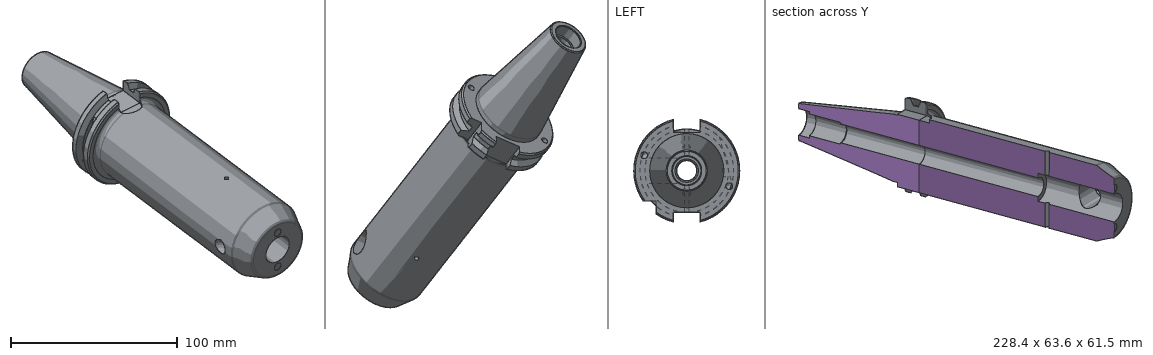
import cadquery as cq
import math


gauge_diameter = 44.45
taper_length = 68.4
taper_ratio = 7 / 24
small_end_radius = (gauge_diameter - taper_length * taper_ratio) / 2
taper_chamfer = 0.6

flange_diameter = 63.55
flange_radius = flange_diameter / 2
flange_start = 3.2
flange_end = 19.1
flange_chamfer = 0.9
groove_centre = 11.0
groove_floor_radius = 28.1
groove_floor_width = 3.6
groove_mouth_width = 7.2
groove_half_floor = groove_floor_width / 2
groove_half_mouth = groove_mouth_width / 2

slot_width = 16.1
upper_slot_floor = 22.8
lower_slot_floor = 25.0
slot_end = 26.2
notch_offset = 18.3

flange_hole_diameter = 4.0
flange_hole_circle_radius = 27.1
flange_hole_angle = 20
flange_hole_depth = 8.6
drill_point_angle = 118
groove_flat_angle = 15.2
groove_flat_distance = 24.2
groove_flat_width = 3.0

overall_end = 160.0
body_radius = 25.0
neck_fillet = 3.0
nose_end = 159.8
nose_cone_start = 147.0
nose_end_radius = 19.5
nose_shoulder_fillet = 2.0
nose_rim_fillet = 1.4

tool_bore_radius = 9.0
tool_bore_depth = 55.0
through_bore_radius = 6.0
thread_bore_radius = 7.0
thread_bore_depth = 30.0
pilot_bore_radius = 8.5
pilot_bore_depth = 8.0
pilot_chamfer = 0.5

screw_hole_x = 136.0
screw_hole_radius = 7.7
dish_radius = 5.0
dish_centre_distance = 26.4

cross_hole_diameter = 2.6
cross_hole_x = 111.3
boss_diameter = 5.0
boss_offset = 12.8


def revolve_about_x(points):
    profile = cq.Workplane("XY").polyline(points).close()
    return profile.revolve(360, (0, 0, 0), (1, 0, 0))


def cylinder_along_x(x_start, x_end, radius, y=0.0, z=0.0):
    return cq.Workplane("YZ", origin=(x_start, y, z)).circle(radius).extrude(x_end - x_start)


def box_between(x_range, y_range, z_range):
    size = [high - low for low, high in (x_range, y_range, z_range)]
    corner = (x_range[0], y_range[0], z_range[0])
    return cq.Workplane("XY").box(*size, centered=False).translate(corner)


def make_taper():
    tip = -taper_length
    gauge_radius = gauge_diameter / 2
    return revolve_about_x([
        (tip, 0),
        (tip, small_end_radius - taper_chamfer),
        (tip + taper_chamfer, small_end_radius + taper_chamfer * taper_ratio / 2),
        (0, gauge_radius),
        (flange_start, gauge_radius),
        (flange_start, 0),
    ])


def make_flange():
    return revolve_about_x([
        (flange_start, 0),
        (flange_start, flange_radius - flange_chamfer),
        (flange_start + flange_chamfer, flange_radius),
        (groove_centre - groove_half_mouth, flange_radius),
        (groove_centre - groove_half_floor, groove_floor_radius),
        (groove_centre + groove_half_floor, groove_floor_radius),
        (groove_centre + groove_half_mouth, flange_radius),
        (flange_end - flange_chamfer, flange_radius),
        (flange_end, flange_radius - flange_chamfer),
        (flange_end, 0),
    ])


def make_neck_fillet():
    profile = (
        cq.Workplane("XY")
        .moveTo(flange_end, 0)
        .lineTo(flange_end, body_radius + neck_fillet)
        .radiusArc((flange_end + neck_fillet, body_radius), -neck_fillet)
        .lineTo(flange_end + neck_fillet, 0)
        .close()
    )
    return profile.revolve(360, (0, 0, 0), (1, 0, 0))


def make_cylinder_and_nose():
    solid = revolve_about_x([
        (flange_end, 0),
        (flange_end, body_radius),
        (nose_cone_start, body_radius),
        (nose_end, nose_end_radius),
        (nose_end, 0),
    ])
    solid = solid.faces("%CYLINDER").edges(">X").fillet(nose_shoulder_fillet)
    return solid.faces(">X").edges().fillet(nose_rim_fillet)


def make_axial_bores():
    tip = -taper_length
    thread_end = tip + thread_bore_depth
    tool_bore_end = nose_end - tool_bore_depth
    return revolve_about_x([
        (tip, 0),
        (tip, pilot_bore_radius + pilot_chamfer),
        (tip + pilot_chamfer, pilot_bore_radius),
        (tip + pilot_bore_depth, pilot_bore_radius),
        (tip + pilot_bore_depth, thread_bore_radius),
        (thread_end, thread_bore_radius),
        (thread_end + thread_bore_radius - through_bore_radius, through_bore_radius),
        (tool_bore_end, through_bore_radius),
        (tool_bore_end, tool_bore_radius),
        (nose_end, tool_bore_radius),
        (nose_end, 0),
    ])


def make_drive_slot(floor):
    half_width = slot_width / 2
    round_centre = slot_end - half_width
    straight = box_between((flange_start, round_centre), (-half_width, half_width), (floor, flange_radius))
    round_end = (
        cq.Workplane("XY", origin=(round_centre, 0, floor))
        .circle(half_width)
        .extrude(flange_radius - floor)
    )
    return straight.union(round_end)


def make_drive_slots():
    upper = make_drive_slot(upper_slot_floor)
    lower = make_drive_slot(lower_slot_floor).rotate((0, 0, 0), (1, 0, 0), 180)
    return upper.union(lower)


def make_orientation_notch():
    return box_between(
        (flange_start, flange_end),
        (notch_offset, flange_radius),
        (-flange_radius, -notch_offset),
    )


def make_flange_holes():
    angle = math.radians(flange_hole_angle)
    y = flange_hole_circle_radius * math.cos(angle)
    z = flange_hole_circle_radius * math.sin(angle)
    radius = flange_hole_diameter / 2
    hole_end = flange_start + flange_hole_depth
    point_length = radius / math.tan(math.radians(drill_point_angle / 2))
    hole = revolve_about_x([
        (flange_start, 0),
        (flange_start, radius),
        (hole_end, radius),
        (hole_end + point_length, 0),
    ])
    return hole.translate((0, y, z)).union(hole.translate((0, -y, -z)))


def make_groove_flat():
    flat = box_between(
        (groove_centre - groove_flat_width / 2, groove_centre + groove_flat_width / 2),
        (-flange_radius, -groove_flat_distance),
        (-flange_radius, flange_radius),
    )
    return flat.rotate((0, 0, 0), (1, 0, 0), -groove_flat_angle)


def make_screw_hole():
    start = (screw_hole_x, 0, 0)
    return cq.Workplane("XZ", origin=start).circle(screw_hole_radius).extrude(-body_radius)


def make_balance_dish():
    return cq.Workplane("XY", origin=(screw_hole_x, -dish_centre_distance, 0)).sphere(dish_radius)


def make_cross_hole():
    start = (cross_hole_x, 0, -body_radius)
    return cq.Workplane("XY", origin=start).circle(cross_hole_diameter / 2).extrude(2 * body_radius)


def make_taper_shank():
    shank = make_taper().union(make_flange())
    cuts = (
        make_axial_bores(),
        make_drive_slots(),
        make_orientation_notch(),
        make_flange_holes(),
        make_groove_flat(),
    )
    for cut in cuts:
        shank = shank.cut(cut)
    return shank


def make_holder_body():
    body = make_neck_fillet().union(make_cylinder_and_nose())
    cuts = (
        make_axial_bores(),
        make_drive_slots(),
        make_screw_hole(),
        make_balance_dish(),
        make_cross_hole(),
    )
    for cut in cuts:
        body = body.cut(cut)
    for side in (1, -1):
        boss = cylinder_along_x(nose_end, overall_end, boss_diameter / 2, 0, side * boss_offset)
        body = body.union(boss)
    return body


taper_shank = make_taper_shank()
holder_body = make_holder_body()
result = cq.Compound.makeCompound([taper_shank.val(), holder_body.val()])